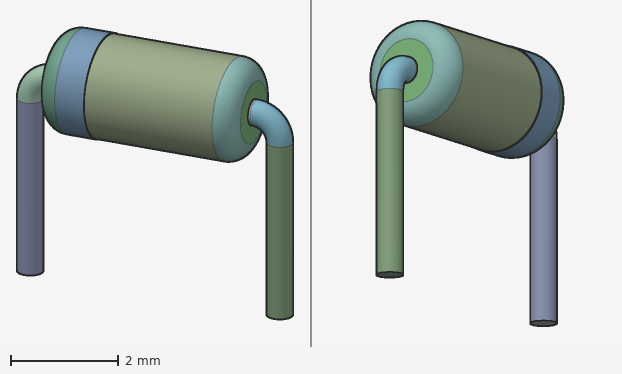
import cadquery as cq

overall_length = 5.58
wire_diameter = 0.5
bend_radius = 0.5
lead_drop = 4.0

case_length = 4.0
case_diameter = 2.0
band_diameter = 2.02
band_length = 1.0
end_rounding = 0.4

lead_x = (overall_length - wire_diameter) / 2
bend_start_x = lead_x - bend_radius


def make_case():
    """Round-ended case with a raised band on its -X end and a bore for the wire."""
    end_x = case_length / 2
    band_end_x = band_length - end_x
    case_radius = case_diameter / 2
    band_radius = band_diameter / 2
    half_profile = (
        cq.Workplane("XY")
        .moveTo(-end_x, 0)
        .lineTo(-end_x, band_radius - end_rounding)
        .radiusArc((-end_x + end_rounding, band_radius), end_rounding)
        .lineTo(band_end_x, band_radius)
        .lineTo(band_end_x, case_radius)
        .lineTo(end_x - end_rounding, case_radius)
        .radiusArc((end_x, case_radius - end_rounding), end_rounding)
        .lineTo(end_x, 0)
        .close()
    )
    solid_case = half_profile.revolve(360, (0, 0, 0), (1, 0, 0))
    wire_bore = (
        cq.Workplane("YZ", origin=(-end_x, 0, 0))
        .circle(wire_diameter / 2)
        .extrude(case_length)
    )
    return solid_case.cut(wire_bore)


def make_wire():
    """One continuous wire through the case, bent down into a lead at each end."""
    centreline = (
        cq.Workplane("XZ")
        .moveTo(-lead_x, -lead_drop)
        .lineTo(-lead_x, -bend_radius)
        .radiusArc((-bend_start_x, 0), bend_radius)
        .lineTo(bend_start_x, 0)
        .radiusArc((lead_x, -bend_radius), bend_radius)
        .lineTo(lead_x, -lead_drop)
    )
    return (
        cq.Workplane("XY", origin=(-lead_x, 0, -lead_drop))
        .circle(wire_diameter / 2)
        .sweep(centreline)
    )


case = make_case()
wire = make_wire()

result = cq.Compound.makeCompound([case.solids().val(), wire.val()])